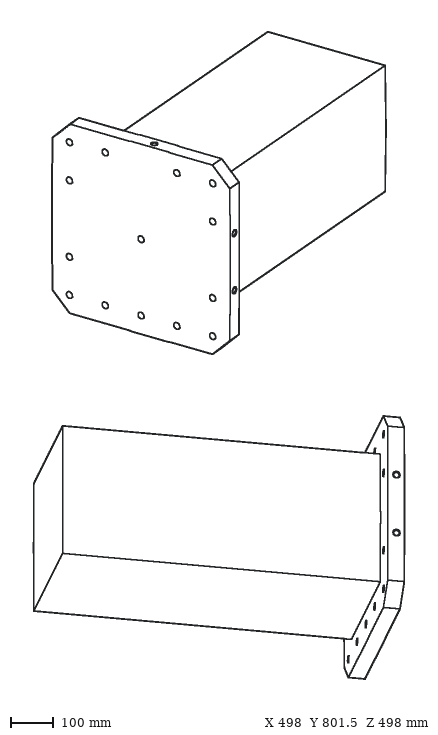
import cadquery as cq
import math

plate_size = 498.0
plate_thickness = 40.0
corner_chamfer = 50.0

pad_height = 1.1
blend_length = 7.0
top_pad_length = 104.0
top_pad_offset = 25.0
side_pad_length = 257.0

total_length = 801.5
column_height = 330.0
column_width = 333.0
side_peak = 2.5

hole_grid_size = 400.0
mount_hole_diameter = 17.0
edge_hole_y = 19.0
edge_hole_diameter = 14.0
edge_sink_diameter = 17.0
edge_hole_depth = 40.0
side_hole_spacing = 150.0

half_plate = plate_size / 2
blend_radius = (blend_length**2 + pad_height**2) / (2 * pad_height)
plate_base = plate_size - 2 * pad_height
hole_pitch = hole_grid_size / 4
sink_depth = (edge_sink_diameter - edge_hole_diameter) / 2


def front_plane(y):
    """Plane facing -Y, with local axes along X and Z."""
    return cq.Workplane("XZ", origin=(0, y, 0))


def make_plate():
    base = front_plane(plate_thickness).rect(plate_base, plate_base).extrude(plate_thickness)
    return base.edges("|Y").chamfer(corner_chamfer - pad_height)


def make_pad(length, offset, angle):
    """Pad on the top edge, turned about Y onto the wanted edge."""
    root = half_plate - pad_height
    inner = root - pad_height
    foot = length / 2 + blend_length
    arc_middle = foot - blend_length / 2
    arc_height = root + blend_radius - math.sqrt(blend_radius**2 - (blend_length / 2) ** 2)
    pad = (
        front_plane(plate_thickness)
        .moveTo(offset - foot, inner)
        .lineTo(offset - foot, root)
        .threePointArc((offset - arc_middle, arc_height), (offset - length / 2, half_plate))
        .lineTo(offset + length / 2, half_plate)
        .threePointArc((offset + arc_middle, arc_height), (offset + foot, root))
        .lineTo(offset + foot, inner)
        .close()
        .extrude(plate_thickness)
    )
    return pad.rotate((0, 0, 0), (0, 1, 0), angle)


def make_column():
    half_top = column_width / 2 - side_peak
    half_height = column_height / 2
    return (
        front_plane(total_length)
        .polyline([
            (-half_top, half_height),
            (half_top, half_height),
            (column_width / 2, 0),
            (half_top, -half_height),
            (-half_top, -half_height),
            (-column_width / 2, 0),
        ])
        .close()
        .extrude(total_length - plate_thickness)
    )


def mount_holes():
    """Border of a five-by-five grid, without the middle holes of the top and sides.

    The hole in the center of the plate ends against the column.
    """
    border = 2
    steps = range(-border, border + 1)
    points = [
        (column * hole_pitch, row * hole_pitch)
        for column in steps
        for row in steps
        if max(abs(column), abs(row)) == border
        and (column, row) not in [(0, border), (-border, 0), (border, 0)]
    ]
    return (
        front_plane(plate_thickness)
        .pushPoints(points + [(0, 0)])
        .circle(mount_hole_diameter / 2)
        .extrude(plate_thickness)
    )


def edge_hole(offset, angle):
    """Countersunk blind hole in the top edge, turned about Y onto the wanted edge."""
    hole = (
        cq.Workplane("XY", origin=(offset, edge_hole_y, half_plate))
        .circle(edge_hole_diameter / 2)
        .extrude(-edge_hole_depth)
        .faces(">Z")
        .workplane()
        .circle(edge_sink_diameter / 2)
        .workplane(offset=-sink_depth)
        .circle(edge_hole_diameter / 2)
        .loft(combine=True)
    )
    return hole.rotate((0, 0, 0), (0, 1, 0), angle)


result = make_plate().union(make_column())
result = result.union(make_pad(top_pad_length, top_pad_offset, 0))
result = result.union(make_pad(top_pad_length, -top_pad_offset, 180))
for side_angle in (-90, 90):
    result = result.union(make_pad(side_pad_length, 0, side_angle))

result = result.cut(mount_holes()).cut(edge_hole(top_pad_offset, 0))
for side_angle in (-90, 90):
    for side in (-1, 1):
        result = result.cut(edge_hole(side * side_hole_spacing / 2, side_angle))